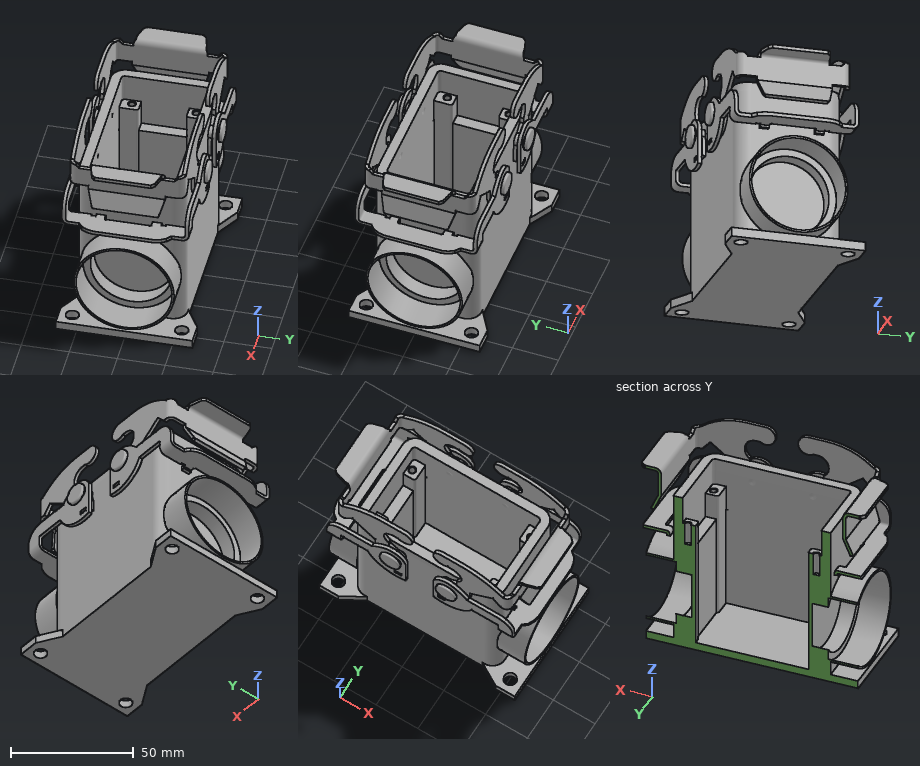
import cadquery as cq
import math


EMBED = 0.3

BODY_LENGTH = 69.6
BODY_WIDTH = 45.2
BODY_HEIGHT = 73.0
BODY_CORNER = 6.0
LIP_HEIGHT = 3.8
LIP_TAPER = 0.3

BASE_LENGTH = 93.8
BASE_WIDTH = 57.0
BASE_THICKNESS = 3.8
BASE_EAR_LENGTH = 9.2
BASE_WAIST_LENGTH = 55.2
MOUNT_HOLE_DIAMETER = 5.5
MOUNT_HOLE_INSET = 5.7

CAVITY_LENGTH = 61.2
CAVITY_WIDTH = 36.0
CAVITY_CORNER = 1.5
CAVITY_LOWER_LENGTH = 51.5
CAVITY_LEDGE_Z = 49.5
CAVITY_DRAFT_Z = 67.7
CAVITY_DRAFT = 0.05

POST_TOP_Z = 60.8
POST_INNER_X = 24.9
POST_INNER_Y = 10.0
POST_CORNER = 1.1
SCREW_X = 28.4
SCREW_Y = 13.4
SCREW_DIAMETER = 2.7
SCREW_CHAMFER = 0.3
SCREW_DEPTH = 10.0

ENTRY_Z = 25.9
ENTRY_OUTER_RADIUS = 20.9
ENTRY_BORE_RADIUS = 20.0
ENTRY_INNER_RADIUS = 16.9
ENTRY_STEP_X = 33.7
ENTRY_END_X = 26.8

PIVOT_X = 13.4
PIVOT_Z = 65.9
PIN_DIAMETER = 5.3
PIN_SLOT_OFFSET = 1.9
PIN_HEAD_DIAMETER = 9.6
PIN_HEAD_THICKNESS = 1.5
PIN_HEAD_ROUND = 0.6
PIN_END_Y = BASE_WIDTH / 2
DIMPLE_DIAMETER = 3.2
DIMPLE_DEPTH = 0.3

SHEET = 1.6
HOOK_Y = 24.1
BAIL_Y = 26.5
LEVER_TIP_X = 98.97 / 2

HOOK_TOP_Z = 91.0
HOOK_TIP_RADIUS = 4.3
HOOK_TIP_X = 9.3
NOTCH_X = 13.5
NOTCH_Z = 78.1
NOTCH_RADIUS = 5.1
WEB_X = 41.6
WEB_BEND = 3.0
WEB_BOTTOM_Z = 73.1
WEB_SIDE_TOP_Z = 83.5
GRIP_TOP_Z = 84.6
GRIP_BEND = 3.0
FLAP_BEND_Z = 71.5
FLAP_END_Z = 64.3
FLAP_END_X = 44.9

BAIL_EDGE_X = 6.6
BAIL_OUTER_X = 44.5
BAIL_INNER_X = 37.8
BAIL_ARM_TOP_Z = 67.1
BAIL_ARM_BOTTOM_Z = 60.1
BAIL_CORNER = 7.3
BAIL_BOTTOM_Z = 53.7
BAIL_BEND = 2.9
BAIL_NOSE_X = 48.4
LOBE_X = 11.2
LOBE_RADIUS = 15.0
LOBE_BOTTOM_Z = 51.2
HUB_RADIUS = 7.0
WINDOW_X = 10.35
WINDOW_Z = 55.1
WINDOW_LENGTH = 3.3
WINDOW_HEIGHT = 1.5
LUG_X = 36.3
LUG_Y = (9.8, 13.6)
LUG_BOTTOM_Z = 52.7


def box_between(x_range, y_range, z_range):
    """Axis-aligned box between the given limits."""
    lengths = [high - low for low, high in (x_range, y_range, z_range)]
    corner = (x_range[0], y_range[0], z_range[0])
    return cq.Workplane("XY").box(*lengths, centered=False).translate(corner)


def in_four_corners(shape):
    """A shape in the +X +Y quadrant together with its three mirror images."""
    pair = shape.union(shape.mirror("YZ"))
    return pair.union(pair.mirror("XZ"))


def rounded_prism(length, width, corner, z_bottom, z_top):
    """Upright block with rounded vertical edges."""
    return (
        cq.Workplane("XY", origin=(0, 0, z_bottom))
        .rect(length, width)
        .extrude(z_top - z_bottom)
        .edges("|Z")
        .fillet(corner)
    )


def rounded_loft(bottom_size, top_size, corner, z_bottom, z_top):
    """Drafted block between two rounded rectangles."""
    bottom = cq.Sketch().rect(*bottom_size).vertices().fillet(corner)
    top = cq.Sketch().rect(*top_size).vertices().fillet(corner)
    return (
        cq.Workplane("XY")
        .placeSketch(
            bottom.moved(cq.Location(cq.Vector(0, 0, z_bottom))),
            top.moved(cq.Location(cq.Vector(0, 0, z_top))),
        )
        .loft(ruled=True)
    )


def x_cylinder(radius, x_start, x_end):
    """Cylinder on the cable entry axis."""
    plane = cq.Workplane("YZ", origin=(x_start, 0, ENTRY_Z))
    return plane.circle(radius).extrude(x_end - x_start)


def base_flange():
    half_length = BASE_LENGTH / 2
    half_width = BASE_WIDTH / 2
    ear_x = half_length - BASE_EAR_LENGTH
    ear = (
        cq.Workplane("XY")
        .polyline([
            (0, 0),
            (half_length, 0),
            (half_length, half_width),
            (ear_x, half_width),
            (BASE_WAIST_LENGTH / 2, BODY_WIDTH / 2),
            (0, BODY_WIDTH / 2),
        ])
        .close()
        .extrude(BASE_THICKNESS)
    )
    hole_spacing_x = BASE_LENGTH - 2 * MOUNT_HOLE_INSET
    hole_spacing_y = BASE_WIDTH - 2 * MOUNT_HOLE_INSET
    holes = (
        cq.Workplane("XY")
        .rarray(hole_spacing_x, hole_spacing_y, 2, 2)
        .circle(MOUNT_HOLE_DIAMETER / 2)
        .extrude(BASE_THICKNESS)
    )
    return in_four_corners(ear).cut(holes)


def body_shell():
    lip_z = BODY_HEIGHT - LIP_HEIGHT
    body = rounded_prism(BODY_LENGTH, BODY_WIDTH, BODY_CORNER, 0, lip_z)
    lip_top = (BODY_LENGTH, BODY_WIDTH - 2 * LIP_TAPER)
    lip = rounded_loft((BODY_LENGTH, BODY_WIDTH), lip_top, BODY_CORNER, lip_z, BODY_HEIGHT)
    return body.union(lip)


def cavity():
    lower = rounded_prism(
        CAVITY_LOWER_LENGTH, CAVITY_WIDTH, CAVITY_CORNER, BASE_THICKNESS, CAVITY_LEDGE_Z + EMBED
    )
    upper = rounded_prism(CAVITY_LENGTH, CAVITY_WIDTH, CAVITY_CORNER, CAVITY_LEDGE_Z, CAVITY_DRAFT_Z)
    mouth_size = (CAVITY_LENGTH + 2 * CAVITY_DRAFT, CAVITY_WIDTH + 2 * CAVITY_DRAFT)
    mouth = rounded_loft(
        (CAVITY_LENGTH, CAVITY_WIDTH), mouth_size, CAVITY_CORNER, CAVITY_DRAFT_Z, BODY_HEIGHT
    )
    return lower.union(upper).union(mouth)


def screw_posts():
    post = box_between(
        (POST_INNER_X, CAVITY_LENGTH / 2 + EMBED),
        (POST_INNER_Y, CAVITY_WIDTH / 2 + EMBED),
        (BASE_THICKNESS - EMBED, POST_TOP_Z),
    )
    post = post.edges("|Z and <X and <Y").fillet(POST_CORNER)
    top = cq.Workplane("XY", origin=(SCREW_X, SCREW_Y, POST_TOP_Z))
    hole = top.circle(SCREW_DIAMETER / 2).extrude(-SCREW_DEPTH)
    mouth_radius = SCREW_DIAMETER / 2 + SCREW_CHAMFER
    hole = hole.union(top.circle(mouth_radius).extrude(-SCREW_CHAMFER, taper=45))
    return in_four_corners(post.cut(hole))


def cable_entry():
    """Entry tube at the +X end, starting just inside the end wall."""
    return x_cylinder(ENTRY_OUTER_RADIUS, ENTRY_STEP_X, BASE_LENGTH / 2)


def cable_entry_bore():
    """Stepped blind bore at the +X end."""
    wide = x_cylinder(ENTRY_BORE_RADIUS, ENTRY_STEP_X, BASE_LENGTH / 2)
    return wide.union(x_cylinder(ENTRY_INNER_RADIUS, ENTRY_END_X, ENTRY_STEP_X))


def y_plane(y):
    """Sketch plane facing -Y; local coordinates are (X, Z), and extrusion runs towards -Y."""
    return cq.Workplane("XZ", origin=(0, y, 0))


def pivot_pin():
    """Pin with a flat-sided shank and a round head, in the +X +Y quadrant."""
    shank_y = BODY_WIDTH / 2 - EMBED - LIP_TAPER
    head_y = PIN_END_Y - PIN_HEAD_THICKNESS
    shank = (
        y_plane(head_y + EMBED)
        .center(PIVOT_X - PIN_SLOT_OFFSET / 2, PIVOT_Z)
        .slot2D(PIN_DIAMETER + PIN_SLOT_OFFSET, PIN_DIAMETER)
        .extrude(head_y + EMBED - shank_y)
    )
    head = (
        y_plane(PIN_END_Y)
        .center(PIVOT_X, PIVOT_Z)
        .circle(PIN_HEAD_DIAMETER / 2)
        .extrude(PIN_HEAD_THICKNESS)
        .faces(">Y")
        .edges()
        .fillet(PIN_HEAD_ROUND)
    )
    return shank.union(head)


def pin_dimple():
    """Shallow cone in the cavity wall opposite a pin, in the +X +Y quadrant."""
    wall_y = CAVITY_WIDTH / 2
    axis = cq.Vector(0, 1, 0)
    cone = cq.Solid.makeCone(
        DIMPLE_DIAMETER / 2, 0, DIMPLE_DEPTH, cq.Vector(PIVOT_X, wall_y, PIVOT_Z), axis
    )
    return cq.Workplane(obj=cone)


def hook_side():
    """Hooked side plate of the upper lever, in the +X +Y quadrant."""
    tip_z = HOOK_TOP_Z - HOOK_TIP_RADIUS
    back_start_x = 18.0
    back_end = (37.4, 84.3)
    drop = HOOK_TOP_Z - back_end[1]
    run = back_end[0] - back_start_x
    back_radius = (run**2 + drop**2) / (2 * drop)
    back_mid_x = back_start_x + run / 2
    back_mid_z = HOOK_TOP_Z - back_radius + math.sqrt(back_radius**2 - (run / 2) ** 2)
    bend_x = WEB_X - WEB_BEND
    toe = (37.3, WEB_BOTTOM_Z)
    crotch = (33.7, 77.2)
    neck_corner_z = 69.3
    neck_base_z = 71.0
    heel_x = 8.3
    heel_bottom_z = 56.2
    heel_top_z = 61.5
    shoulder = (9.5, 66.5)
    neck_inner_x = 16.35
    neck_outer_x = 22.7
    notch_end_z = NOTCH_Z - math.sqrt(NOTCH_RADIUS**2 - (neck_inner_x - NOTCH_X) ** 2)
    notch_top_z = NOTCH_Z + NOTCH_RADIUS
    tip_join_x = HOOK_TIP_X + math.sqrt(HOOK_TIP_RADIUS**2 - (tip_z - notch_top_z) ** 2)
    root_radius = neck_outer_x - PIVOT_X
    diagonal = math.sqrt(0.5) * root_radius
    return (
        y_plane(HOOK_Y)
        .moveTo(HOOK_TIP_X, HOOK_TOP_Z)
        .lineTo(back_start_x, HOOK_TOP_Z)
        .threePointArc((back_mid_x, back_mid_z), back_end)
        .lineTo(bend_x, WEB_SIDE_TOP_Z)
        .lineTo(bend_x, WEB_BOTTOM_Z)
        .lineTo(*toe)
        .lineTo(*crotch)
        .lineTo(neck_outer_x, neck_corner_z)
        .lineTo(neck_outer_x, PIVOT_Z)
        .threePointArc(
            (PIVOT_X + diagonal, PIVOT_Z - diagonal), (PIVOT_X, PIVOT_Z - root_radius)
        )
        .lineTo(heel_x, heel_bottom_z)
        .lineTo(heel_x, heel_top_z)
        .lineTo(*shoulder)
        .lineTo(neck_inner_x, neck_base_z)
        .lineTo(neck_inner_x, notch_end_z)
        .threePointArc((NOTCH_X + NOTCH_RADIUS, NOTCH_Z), (NOTCH_X, notch_top_z))
        .lineTo(tip_join_x, notch_top_z)
        .threePointArc((HOOK_TIP_X - HOOK_TIP_RADIUS, tip_z), (HOOK_TIP_X, HOOK_TOP_Z))
        .close()
        .extrude(SHEET)
    )


def hook_web():
    """Cross web of the upper lever with its two rounded bends, at the +X end."""
    start_x = WEB_X - WEB_BEND - EMBED
    height = GRIP_TOP_Z - WEB_BOTTOM_Z
    depth = WEB_X - start_x
    outer = (
        cq.Workplane("XY", origin=(start_x + depth / 2, 0, WEB_BOTTOM_Z))
        .rect(depth, 2 * HOOK_Y)
        .extrude(height)
        .edges("|Z and >X")
        .fillet(WEB_BEND)
    )
    inner = (
        cq.Workplane("XY", origin=(start_x + (depth - SHEET) / 2, 0, WEB_BOTTOM_Z))
        .rect(depth - SHEET, 2 * (HOOK_Y - SHEET))
        .extrude(height)
        .edges("|Z and >X")
        .fillet(WEB_BEND - SHEET)
    )
    dip_z = GRIP_TOP_Z - GRIP_BEND
    rim_corner = (21.3, 83.2)
    dip_corner = (19.8, dip_z)
    half_outline = [
        (0, WEB_BOTTOM_Z),
        (HOOK_Y, WEB_BOTTOM_Z),
        (HOOK_Y, WEB_SIDE_TOP_Z),
        rim_corner,
        dip_corner,
        (0, dip_z),
    ]
    outline = (
        cq.Workplane("YZ", origin=(start_x, 0, 0))
        .polyline(half_outline)
        .close()
        .extrude(depth)
    )
    return outer.cut(inner).intersect(both_sides(outline))


def hook_grip():
    """Thumb grip above the web and the slanted flap below it, at the +X end."""
    bend_x = WEB_X - SHEET + GRIP_BEND
    bend_z = GRIP_TOP_Z - GRIP_BEND
    inner_bend = GRIP_BEND - SHEET
    mid = math.sqrt(0.5)
    flap_dx = FLAP_END_X - WEB_X
    flap_dz = FLAP_END_Z - FLAP_BEND_Z
    flap_length = math.hypot(flap_dx, flap_dz)
    flap_back = (
        FLAP_END_X + SHEET * flap_dz / flap_length,
        FLAP_END_Z - SHEET * flap_dx / flap_length,
    )
    lap_half_width = 16.0
    profile = (
        y_plane(lap_half_width)
        .moveTo(LEVER_TIP_X, GRIP_TOP_Z)
        .lineTo(bend_x, GRIP_TOP_Z)
        .threePointArc(
            (bend_x - GRIP_BEND * mid, bend_z + GRIP_BEND * mid), (WEB_X - SHEET, bend_z)
        )
        .lineTo(WEB_X - SHEET, FLAP_BEND_Z)
        .lineTo(*flap_back)
        .lineTo(FLAP_END_X, FLAP_END_Z)
        .lineTo(WEB_X, FLAP_BEND_Z)
        .lineTo(WEB_X, bend_z)
        .threePointArc(
            (bend_x - inner_bend * mid, bend_z + inner_bend * mid),
            (bend_x, GRIP_TOP_Z - SHEET),
        )
        .lineTo(LEVER_TIP_X, GRIP_TOP_Z - SHEET)
        .close()
        .extrude(2 * lap_half_width)
    )
    grip_root_half_width = 15.6
    grip_half_width = 14.6
    grip_tip_half_width = 11.8
    grip_corner = (48.0, 13.2)
    grip_points = [
        (WEB_X - SHEET, grip_root_half_width),
        (WEB_X, grip_half_width),
        (bend_x, grip_half_width),
        grip_corner,
        (LEVER_TIP_X, grip_tip_half_width),
    ]
    plan = (
        cq.Workplane("XY", origin=(0, 0, bend_z))
        .polyline(grip_points + [(x, -y) for x, y in reversed(grip_points)])
        .close()
        .extrude(GRIP_TOP_Z - bend_z)
    )
    flap_corner = (14.0, 64.8)
    flap_end_half_width = 13.0
    flap_points = [
        (lap_half_width, bend_z),
        (lap_half_width, FLAP_BEND_Z),
        flap_corner,
        (flap_end_half_width, flap_back[1]),
    ]
    flap_outline = (
        cq.Workplane("YZ", origin=(WEB_X - SHEET, 0, 0))
        .polyline(flap_points + [(-y, z) for y, z in reversed(flap_points)])
        .close()
        .extrude(FLAP_END_X - WEB_X + SHEET)
    )
    return profile.intersect(plan.union(flap_outline))


def bail_side():
    """Side plate of the lower lever down to its bend, in the +X +Y quadrant."""
    bend_z = BAIL_BOTTOM_Z + BAIL_BEND
    lobe_z = LOBE_BOTTOM_Z + LOBE_RADIUS
    lobe_end_x = LOBE_X + math.sqrt(LOBE_RADIUS**2 - (lobe_z - BAIL_ARM_BOTTOM_Z) ** 2)
    lobe_edge_z = lobe_z - math.sqrt(LOBE_RADIUS**2 - (LOBE_X - BAIL_EDGE_X) ** 2)
    hub_edge_z = PIVOT_Z + math.sqrt(HUB_RADIUS**2 - (PIVOT_X - BAIL_EDGE_X) ** 2)
    shoulder_x = 16.2
    shoulder_z = PIVOT_Z + math.sqrt(HUB_RADIUS**2 - (shoulder_x - PIVOT_X) ** 2)
    shoulder_mid = (19.3, 70.4)
    arm_root_x = 22.9
    corner_fillet = 0.7
    plate = (
        y_plane(BAIL_Y)
        .moveTo(BAIL_EDGE_X, lobe_edge_z)
        .lineTo(BAIL_EDGE_X, hub_edge_z)
        .threePointArc((PIVOT_X, PIVOT_Z + HUB_RADIUS), (shoulder_x, shoulder_z))
        .threePointArc(shoulder_mid, (arm_root_x, BAIL_ARM_TOP_Z))
        .lineTo(BAIL_OUTER_X - BAIL_CORNER, BAIL_ARM_TOP_Z)
        .radiusArc((BAIL_OUTER_X, BAIL_ARM_TOP_Z - BAIL_CORNER), BAIL_CORNER)
        .lineTo(BAIL_OUTER_X, bend_z)
        .lineTo(BAIL_INNER_X, bend_z)
        .lineTo(BAIL_INNER_X, BAIL_ARM_BOTTOM_Z - corner_fillet)
        .radiusArc((BAIL_INNER_X - corner_fillet, BAIL_ARM_BOTTOM_Z), -corner_fillet)
        .lineTo(lobe_end_x, BAIL_ARM_BOTTOM_Z)
        .threePointArc((LOBE_X, LOBE_BOTTOM_Z), (BAIL_EDGE_X, lobe_edge_z))
        .close()
        .extrude(SHEET)
    )
    window = (
        y_plane(BAIL_Y)
        .center(WINDOW_X, WINDOW_Z)
        .rect(WINDOW_LENGTH, WINDOW_HEIGHT)
        .extrude(SHEET)
    )
    return plate.cut(window)


def bail_bar():
    """Bent cross bar of the lower lever with its two stop lugs, at the +X end."""
    bend_z = BAIL_BOTTOM_Z + BAIL_BEND
    length = BAIL_NOSE_X - BAIL_INNER_X
    section = cq.Workplane("YZ", origin=(BAIL_INNER_X, 0, bend_z))
    outer = section.rect(2 * BAIL_Y, 2 * BAIL_BEND).extrude(length)
    outer = outer.edges("|X and <Z").fillet(BAIL_BEND)
    inner_bend = BAIL_BEND - SHEET
    inner = section.rect(2 * (BAIL_Y - SHEET), 2 * inner_bend).extrude(length)
    inner = inner.edges("|X and <Z").fillet(inner_bend)
    bent_sheet = outer.cut(inner)

    nose_root_y = 19.3
    nose_flank = (46.6, 17.6)
    nose_corner = (47.9, 15.0)
    nose_half_width = 12.6
    bar_inner_x = 39.9
    bar_chamfer = 0.6
    relief_x = 38.6
    relief_end_y = 15.5
    plan = (
        cq.Workplane("XY", origin=(0, 0, BAIL_BOTTOM_Z))
        .moveTo(BAIL_OUTER_X, BAIL_Y)
        .lineTo(BAIL_OUTER_X, nose_root_y)
        .lineTo(*nose_flank)
        .lineTo(*nose_corner)
        .lineTo(BAIL_NOSE_X, nose_half_width)
        .lineTo(BAIL_NOSE_X, 0)
        .lineTo(bar_inner_x, 0)
        .lineTo(bar_inner_x, LUG_Y[0] - bar_chamfer)
        .lineTo(bar_inner_x - bar_chamfer, LUG_Y[0])
        .lineTo(BAIL_INNER_X, LUG_Y[0])
        .lineTo(BAIL_INNER_X, LUG_Y[1])
        .lineTo(relief_x, LUG_Y[1])
        .lineTo(relief_x, relief_end_y)
        .lineTo(BAIL_INNER_X, relief_end_y)
        .lineTo(BAIL_INNER_X, BAIL_Y)
        .close()
        .extrude(BAIL_BEND)
    )
    lug_bend = BAIL_INNER_X - LUG_X
    lug_top_z = BAIL_BOTTOM_Z + SHEET
    lug = (
        y_plane(LUG_Y[1])
        .moveTo(LUG_X, LUG_BOTTOM_Z)
        .lineTo(LUG_X, lug_top_z - lug_bend)
        .radiusArc((BAIL_INNER_X, lug_top_z), lug_bend)
        .lineTo(BAIL_INNER_X, LUG_BOTTOM_Z)
        .close()
        .extrude(LUG_Y[1] - LUG_Y[0])
    )
    return bent_sheet.intersect(both_sides(plan)).union(both_sides(lug))


def both_sides(shape):
    """A shape on the +Y side together with its mirror image."""
    return shape.union(shape.mirror("XZ"))


def end_hardware():
    """Levers and pivot pins of the +X end."""
    hook_lever = both_sides(hook_side()).union(hook_web()).union(hook_grip())
    bail_lever = both_sides(bail_side()).union(bail_bar())
    return hook_lever.union(bail_lever).union(both_sides(pivot_pin()))


def housing():
    entries = cable_entry().union(cable_entry().mirror("YZ"))
    bores = cable_entry_bore().union(cable_entry_bore().mirror("YZ"))
    shell = base_flange().union(body_shell()).union(entries)
    shell = shell.cut(cavity()).union(screw_posts())
    return shell.cut(bores).cut(in_four_corners(pin_dimple()))


hardware = end_hardware()
result = housing().union(hardware).union(hardware.mirror("YZ"))